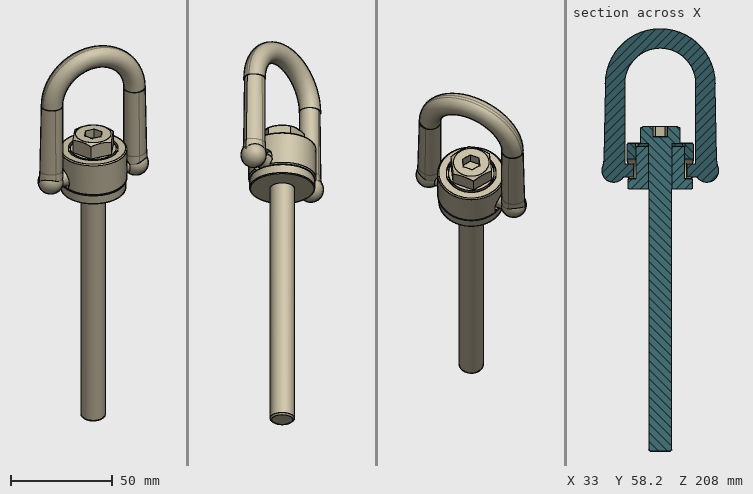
import cadquery as cq
import math


total_height = 208
bow_height = 79.2

flange_radius = 16.0
flange_height = 5.2
flange_chamfer = 0.5
sleeve_radius = 12.3

housing_diameter = 33.0
housing_top = 22.7
housing_chamfer = 0.6
pivot_opening_radius = 5.8

washer_radius = 11.2
washer_thickness = 1.7

shank_radius = 6.0
shank_chamfer = 0.8
shank_length = total_height - bow_height
head_height = 8.1
head_across_flats = 19.0
head_top_radius = 8.7
head_bevel_drop = 1.2
socket_across_flats = 8.1
socket_depth = 5.0

bow_width = 58.2
bar_diameter = 10.5
crest_flat_width = 1.5
bow_outer_radius = 27.5
leg_inner_y = 16.8
leg_middle_y = 22.5
leg_top_half_width = 5.0
leg_top_outer_y = 27.9
ankle_z = 15.5
ankle_half_width = 5.2
ankle_outer_y = 28.7
leg_foot_half_width = 5.8
flank_x_ratio = 0.6
flank_y_ratio = 0.7
ball_radius = 6.2
pivot_pin_radius = 4.0
pivot_pin_clearance = 0.6

sleeve_top = housing_top - washer_thickness
housing_radius = housing_diameter / 2
bow_half_width = bow_width / 2
bar_radius = bar_diameter / 2
ball_y = bow_half_width - ball_radius
pivot_z = flange_height + pivot_pin_radius
arch_z = bow_height - bow_outer_radius
arch_bar_y = bow_outer_radius - math.sqrt(bar_radius**2 - (crest_flat_width / 2) ** 2)
hexagon_ratio = 2 / math.sqrt(3)
sides = (-1, 1)


def cylinder(radius, bottom, top):
    """Upright cylinder on the bolt axis."""
    return cq.Workplane("XY").workplane(offset=bottom).circle(radius).extrude(top - bottom)


def hexagon_prism(across_flats, bottom, top):
    """Upright hexagonal prism with two corners on the Y axis."""
    prism = (
        cq.Workplane("XY")
        .workplane(offset=bottom)
        .polygon(6, across_flats * hexagon_ratio)
        .extrude(top - bottom)
    )
    return prism.rotate((0, 0, 0), (0, 0, 1), 90)


def pivot_cylinder(side, radius, inner_y, outer_y):
    """Cylinder on the pivot axis, on one side of the bolt axis."""
    return cq.Workplane(
        cq.Solid.makeCylinder(
            radius, outer_y - inner_y, cq.Vector(0, side * inner_y, pivot_z), cq.Vector(0, side, 0)
        )
    )


def make_bushing():
    flange = cylinder(flange_radius, 0, flange_height).edges().chamfer(flange_chamfer)
    sleeve = cylinder(sleeve_radius, 0, sleeve_top)
    bore = cylinder(shank_radius, 0, sleeve_top)
    return flange.union(sleeve).cut(bore)


def make_housing():
    housing = cylinder(housing_radius, flange_height, housing_top).edges().chamfer(housing_chamfer)
    housing = housing.cut(cylinder(sleeve_radius, flange_height, housing_top))
    for side in sides:
        housing = housing.cut(pivot_cylinder(side, pivot_opening_radius, 0, housing_radius))
    return housing


def make_washer():
    washer = cylinder(washer_radius, sleeve_top, housing_top)
    return washer.cut(cylinder(shank_radius, sleeve_top, housing_top))


def make_bolt():
    head_top = housing_top + head_height
    corner_radius = head_across_flats * hexagon_ratio / 2
    shank = cylinder(shank_radius, -shank_length, housing_top).faces("<Z").chamfer(shank_chamfer)
    head = hexagon_prism(head_across_flats, housing_top, head_top)
    envelope = (
        cq.Workplane("XZ")
        .moveTo(0, housing_top)
        .lineTo(corner_radius, housing_top)
        .lineTo(corner_radius, head_top - head_bevel_drop)
        .lineTo(head_top_radius, head_top)
        .lineTo(0, head_top)
        .close()
        .revolve(360, (0, 0), (0, 1))
    )
    socket = hexagon_prism(socket_across_flats, head_top - socket_depth, head_top)
    return shank.union(head.intersect(envelope)).cut(socket)


def make_arch():
    """Half ring of round bar with a narrow flat along its crest."""
    flat_x = crest_flat_width / 2
    return (
        cq.Workplane("XY")
        .workplane(offset=arch_z)
        .moveTo(-flat_x, bow_outer_radius)
        .threePointArc((0, arch_bar_y - bar_radius), (flat_x, bow_outer_radius))
        .close()
        .revolve(180, (0, 0), (1, 0))
    )


def leg_section(height, half_width, outer_y):
    """Leg outline at one height: rounded on the inside, two flanks meeting at an outer ridge."""
    flank_x = flank_x_ratio * half_width
    flank_y = leg_middle_y + flank_y_ratio * (outer_y - leg_middle_y)
    return (
        cq.Workplane("XY")
        .workplane(offset=height)
        .moveTo(half_width, leg_middle_y)
        .threePointArc((flank_x, flank_y), (0, outer_y))
        .threePointArc((-flank_x, flank_y), (-half_width, leg_middle_y))
        .threePointArc((0, leg_inner_y), (half_width, leg_middle_y))
        .close()
        .val()
    )


def make_leg(side):
    """Tapered leg with the ball at its foot and the pivot pin pointing inward."""
    sections = [
        leg_section(pivot_z, leg_foot_half_width, bow_half_width),
        leg_section(ankle_z, ankle_half_width, ankle_outer_y),
        leg_section(arch_z, leg_top_half_width, leg_top_outer_y),
    ]
    leg = cq.Workplane(cq.Solid.makeLoft(sections, True))
    if side < 0:
        leg = leg.mirror("XZ")
    ball = cq.Workplane("XY").sphere(ball_radius).translate((0, side * ball_y, pivot_z))
    pin = pivot_cylinder(side, pivot_pin_radius, sleeve_radius + pivot_pin_clearance, ball_y)
    return leg.union(ball).union(pin)


def make_bow():
    bow = make_arch()
    for side in sides:
        bow = bow.union(make_leg(side))
    return bow


bushing = make_bushing()
housing = make_housing()
washer = make_washer()
bolt = make_bolt()
bow = make_bow()

bodies = (bushing, housing, washer, bolt, bow)
result = cq.Compound.makeCompound([body.solids().val() for body in bodies])